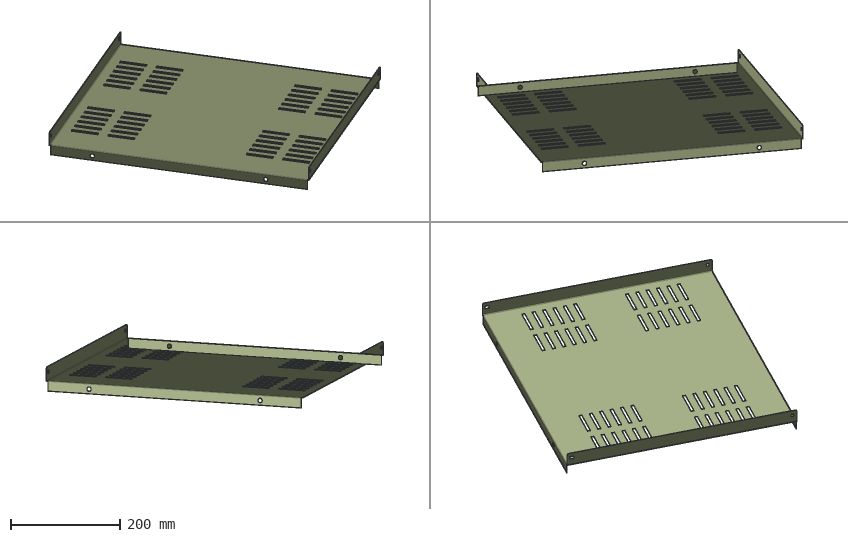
import cadquery as cq

width = 499.0
depth = 444.0
overall_height = 45.0
thickness = 1.0
bend_outer_radius = 1.05
bend_inner_radius = bend_outer_radius - thickness

end_flange_drop = 18.5
side_flange_height = overall_height - end_flange_drop
end_flange_inset = 3.0
end_flange_length = width - 2 * end_flange_inset
side_flange_corner_radius = 4.0

slot_length = 50.5
slot_width = 5.5
slot_columns = 2
slot_rows = 6
column_pitch = 70.0
row_pitch = 20.0
bank_center_x = 168.0
bank_center_y = 100.0

side_hole_drop = 10.5
side_hole_z = side_flange_height - side_hole_drop
side_hole_diameter = 6.0
side_hole_y = 213.0
side_slot_length = 9.0

end_hole_diameter = 8.0
end_hole_x = 166.5
end_hole_z = -9.5


def channel_section(plane, span, outer_z, tip_z):
    """Outline of a bent U: floor face at outer_z, flange tips at tip_z, rounded at both bends."""
    up = 1 if tip_z > outer_z else -1
    half = span / 2
    inner_z = outer_z + up * thickness
    inner_half = half - thickness
    mid_share = 1 - 0.5**0.5
    outer_mid = bend_outer_radius * mid_share
    inner_mid = bend_inner_radius * mid_share
    return (
        cq.Workplane(plane)
        .moveTo(-half, tip_z)
        .lineTo(-half, outer_z + up * bend_outer_radius)
        .threePointArc(
            (-half + outer_mid, outer_z + up * outer_mid),
            (-half + bend_outer_radius, outer_z),
        )
        .lineTo(half - bend_outer_radius, outer_z)
        .threePointArc(
            (half - outer_mid, outer_z + up * outer_mid),
            (half, outer_z + up * bend_outer_radius),
        )
        .lineTo(half, tip_z)
        .lineTo(inner_half, tip_z)
        .lineTo(inner_half, inner_z + up * bend_inner_radius)
        .threePointArc(
            (inner_half - inner_mid, inner_z + up * inner_mid),
            (inner_half - bend_inner_radius, inner_z),
        )
        .lineTo(-inner_half + bend_inner_radius, inner_z)
        .threePointArc(
            (-inner_half + inner_mid, inner_z + up * inner_mid),
            (-inner_half, inner_z + up * bend_inner_radius),
        )
        .lineTo(-inner_half, tip_z)
        .close()
    )


def side_flanges():
    """Upright flanges with their bends and the floor margin outside the end flanges."""
    channel = channel_section("XZ", width, 0, side_flange_height).extrude(depth / 2, both=True)
    channel = channel.edges("|X and >Z").fillet(side_flange_corner_radius)
    floor_middle = cq.Workplane("XY").box(end_flange_length, depth, 2 * thickness)
    return channel.cut(floor_middle)


def floor_with_end_flanges():
    """Floor folded down along the front and back edges."""
    section = channel_section("YZ", depth, thickness, -end_flange_drop)
    return section.extrude(end_flange_length / 2, both=True)


def vent_slots():
    """Cutters for all four banks of slots through the floor."""
    bank = (
        cq.Workplane("XY")
        .rarray(column_pitch, row_pitch, slot_columns, slot_rows)
        .rect(slot_length, slot_width)
        .extrude(thickness)
    )
    slots = cq.Workplane("XY")
    for side_x in (-1, 1):
        for side_y in (-1, 1):
            slots = slots.union(bank.translate((side_x * bank_center_x, side_y * bank_center_y, 0)))
    return slots


def side_flange_holes():
    """Cutters crossing both side flanges."""
    hole = (
        cq.Workplane("YZ")
        .center(-side_hole_y, side_hole_z)
        .circle(side_hole_diameter / 2)
        .extrude(width / 2, both=True)
    )
    slot = (
        cq.Workplane("YZ")
        .center(side_hole_y, side_hole_z)
        .slot2D(side_slot_length, side_hole_diameter)
        .extrude(width / 2, both=True)
    )
    return hole.union(slot)


def end_flange_holes():
    """Cutters crossing both end flanges."""
    return (
        cq.Workplane("XZ")
        .pushPoints([(-end_hole_x, end_hole_z), (end_hole_x, end_hole_z)])
        .circle(end_hole_diameter / 2)
        .extrude(depth / 2, both=True)
    )


result = side_flanges().union(floor_with_end_flanges())
result = result.cut(vent_slots()).cut(side_flange_holes()).cut(end_flange_holes())